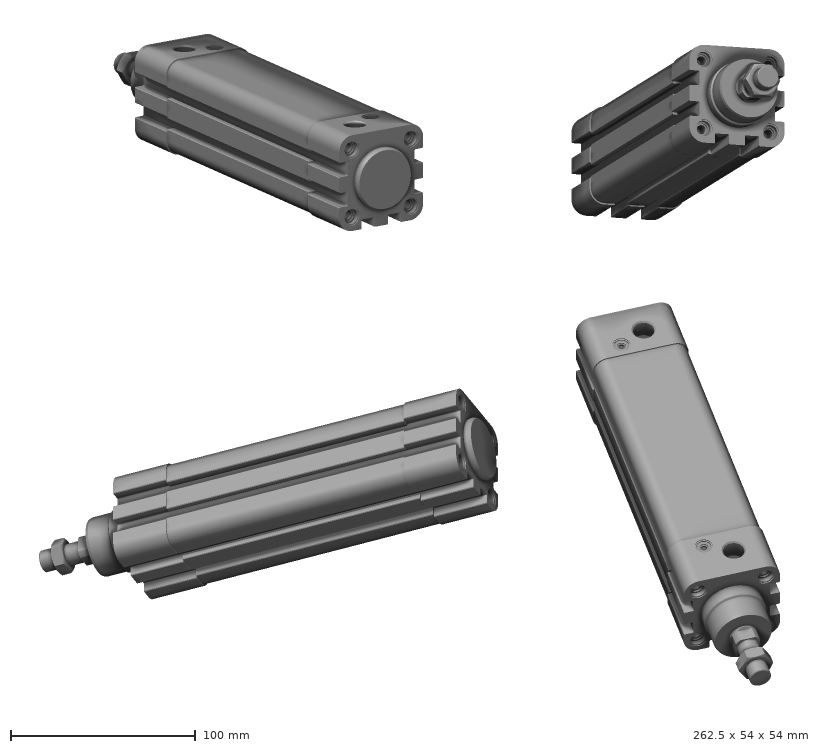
import cadquery as cq
import math

OVERALL_LENGTH = 262.5

CAP_SIDE = 54.0
CAP_CORNER_RADIUS = 8.5
CAP_LENGTH = 31.5
BARREL_INSET = 0.8
CAP_START = 54.0
REAR_COLLAR_LENGTH = 4.0
CAP_END = OVERALL_LENGTH - REAR_COLLAR_LENGTH
BARREL_LENGTH = CAP_END - CAP_START - 2 * CAP_LENGTH
BODY_MIDDLE = (CAP_START + CAP_END) / 2

CAP_SLOT_INNER = 4.5
CAP_SLOT_OUTER = 12.5
BARREL_SLOT_INNER = 5.8
BARREL_SLOT_OUTER = 11.5
SLOT_FLOOR = 21.5
CAP_SLOT_FILLET = 0.5
SLOT_CHAMFER = 0.4
BARREL_LIP_DEPTH = 2.5
SIDE_ANGLES = (-90, 0, 90)

COLLAR_DIAMETER = 35.0
NECK_DIAMETER = 33.0
NECK_START = 32.5
COLLAR_START = 46.2
NECK_CHAMFER_LENGTH = 1.5
NECK_CHAMFER_DEPTH = 0.5
COLLAR_RAMP_LENGTH = 0.8
REAR_CHAMFER_LENGTH = 1.5
REAR_CHAMFER_DEPTH = 0.92

SCREW_SPACING = 38.0
SCREW_BORE_DIAMETER = 10.0
SCREW_BORE_DEPTH = 0.5
SCREW_SEAT_DIAMETER = 8.5
SCREW_SEAT_DEPTH = 3.2
SCREW_HOLE_MOUTH_DIAMETER = 6.5
SCREW_HOLE_MOUTH_DEPTH = 4.2
SCREW_HOLE_DIAMETER = 5.0
SCREW_HOLE_DEPTH = 13.0

PORT_MOUTH_DIAMETER = 13.0
PORT_DIAMETER = 11.5
PORT_DEPTH = 10.5
PORT_Y = -6.0
PORT_FROM_MIDDLE = 85.3
CUSHION_BORE_DIAMETER = 9.7
CUSHION_HEAD_DIAMETER = 8.5
CUSHION_BORE_DEPTH = 0.5
CUSHION_HEAD_RECESS = 1.0
CUSHION_RECESS_DIAMETER = 5.0
CUSHION_RECESS_DEPTH = 1.5
CUSHION_SOCKET_DIAMETER = 3.5
CUSHION_SOCKET_DEPTH = 2.5
CUSHION_Y = 8.7
CUSHION_FROM_MIDDLE = 78.0

ROD_DIAMETER = 16.0
ROD_END = CAP_START + CAP_LENGTH
THREAD_DIAMETER = 12.0
THREAD_LENGTH = 24.0
THREAD_CHAMFER = 0.4
FLATS_WIDTH = 13.6
FLATS_END = 30.7
NUT_START = 8.1
NUT_LENGTH = 7.0
NUT_ACROSS_FLATS = 17.0
NUT_FACE_DIAMETER = 16.5
NUT_ACROSS_CORNERS = NUT_ACROSS_FLATS / math.cos(math.pi / 6)


def x_cylinder(start, end, diameter):
    return cq.Workplane("YZ", origin=(start, 0, 0)).circle(diameter / 2).extrude(end - start)


def turned(outline):
    """Solid of revolution about X from a closed (x, radius) outline."""
    return cq.Workplane("XY").polyline(outline).close().revolve(360, (0, 0, 0), (1, 0, 0))


def rounded_bar(start, length, side, corner_radius):
    bar = cq.Workplane("YZ", origin=(start, 0, 0)).rect(side, side).extrude(length)
    return bar.edges("|X").fillet(corner_radius)


def on_slotted_sides(pattern):
    """Copies of a pattern drawn for the -Z side, turned onto the -Y, -Z and +Y sides."""
    copies = cq.Workplane()
    for angle in SIDE_ANGLES:
        copies = copies.add(pattern.rotate((0, 0, 0), (1, 0, 0), angle))
    return copies.combine()


def slot_pair(start, length, inner, outer, floor, mouth):
    """Two slots, mirrored about Y = 0, from the floor distance down to the mouth distance."""
    centre = (inner + outer) / 2
    middle = -(floor + mouth) / 2
    pair = cq.Workplane("YZ", origin=(start, 0, 0)).pushPoints([(-centre, middle), (centre, middle)])
    return pair.rect(outer - inner, mouth - floor).extrude(length)


def flared_mouths(start, length, inner, outer, mouth):
    """Bevels that open the mouths of a slot pair by the slot chamfer on each side."""
    bevel_top = -(mouth - SLOT_CHAMFER)
    bevels = cq.Workplane()
    for side in (-1, 1):
        outline = [
            (side * inner, bevel_top),
            (side * outer, bevel_top),
            (side * (outer + SLOT_CHAMFER), -mouth),
            (side * (inner - SLOT_CHAMFER), -mouth),
        ]
        profile = cq.Workplane("YZ", origin=(start, 0, 0)).polyline(outline).close()
        bevels = bevels.add(profile.extrude(length))
    return bevels.combine()


def end_cap(start):
    cap = rounded_bar(start, CAP_LENGTH, CAP_SIDE, CAP_CORNER_RADIUS)
    mouth = CAP_SIDE / 2
    slots = slot_pair(start, CAP_LENGTH, CAP_SLOT_INNER, CAP_SLOT_OUTER, SLOT_FLOOR, mouth)
    slots = slots.faces(">Z").edges("|X").fillet(CAP_SLOT_FILLET)
    slots = slots.union(flared_mouths(start, CAP_LENGTH, CAP_SLOT_INNER, CAP_SLOT_OUTER, mouth))
    return cap.cut(on_slotted_sides(slots))


def barrel():
    """Barrel whose slots have a narrow mouth and widen toward the middle rib below its lip."""
    start = CAP_START + CAP_LENGTH
    mouth = CAP_SIDE / 2 - BARREL_INSET
    bar = rounded_bar(start, BARREL_LENGTH, 2 * mouth, CAP_CORNER_RADIUS - BARREL_INSET)
    slots = (
        slot_pair(start, BARREL_LENGTH, BARREL_SLOT_INNER, BARREL_SLOT_OUTER, SLOT_FLOOR, mouth)
        .union(slot_pair(start, BARREL_LENGTH, CAP_SLOT_INNER, BARREL_SLOT_OUTER, SLOT_FLOOR,
                         mouth - BARREL_LIP_DEPTH))
        .union(flared_mouths(start, BARREL_LENGTH, BARREL_SLOT_INNER, BARREL_SLOT_OUTER, mouth))
    )
    return bar.cut(on_slotted_sides(slots))


def collars():
    """Turned neck and front collar in front of the body, short collar behind it."""
    neck_radius = NECK_DIAMETER / 2
    collar_radius = COLLAR_DIAMETER / 2
    outline = [
        (NECK_START, 0),
        (NECK_START, neck_radius - NECK_CHAMFER_DEPTH),
        (NECK_START + NECK_CHAMFER_LENGTH, neck_radius),
        (COLLAR_START, neck_radius),
        (COLLAR_START + COLLAR_RAMP_LENGTH, collar_radius),
        (OVERALL_LENGTH - REAR_CHAMFER_LENGTH, collar_radius),
        (OVERALL_LENGTH, collar_radius - REAR_CHAMFER_DEPTH),
        (OVERALL_LENGTH, 0),
    ]
    return turned(outline)


def screw_sockets():
    front = (
        cq.Workplane("YZ", origin=(CAP_START, 0, 0))
        .rect(SCREW_SPACING, SCREW_SPACING, forConstruction=True)
        .vertices()
    )
    bore = front.circle(SCREW_BORE_DIAMETER / 2).extrude(SCREW_BORE_DEPTH)
    seat = front.circle(SCREW_SEAT_DIAMETER / 2).extrude(SCREW_SEAT_DEPTH)
    mouth = front.circle(SCREW_HOLE_MOUTH_DIAMETER / 2).extrude(SCREW_HOLE_MOUTH_DEPTH)
    hole = front.circle(SCREW_HOLE_DIAMETER / 2).extrude(SCREW_HOLE_DEPTH)
    sockets = bore.union(seat).union(mouth).union(hole)
    return sockets.union(sockets.mirror("YZ", (BODY_MIDDLE, 0, 0)))


def top_hole(x, y, diameter, depth):
    return cq.Workplane("XY", origin=(x, y, CAP_SIDE / 2)).circle(diameter / 2).extrude(-depth)


def top_holes(side):
    """Port and cushioning screw of one cap; side is -1 for the front and 1 for the rear."""
    port_x = BODY_MIDDLE + side * PORT_FROM_MIDDLE
    cushion_x = BODY_MIDDLE + side * CUSHION_FROM_MIDDLE
    mouth = (PORT_MOUTH_DIAMETER - PORT_DIAMETER) / 2
    port = top_hole(port_x, PORT_Y, PORT_DIAMETER, PORT_DEPTH)
    countersink = cq.Workplane(cq.Solid.makeCone(
        PORT_MOUTH_DIAMETER / 2, PORT_DIAMETER / 2, mouth,
        cq.Vector(port_x, PORT_Y, CAP_SIDE / 2), cq.Vector(0, 0, -1)))
    bore = top_hole(cushion_x, CUSHION_Y, CUSHION_BORE_DIAMETER, CUSHION_BORE_DEPTH)
    head = top_hole(cushion_x, CUSHION_Y, CUSHION_HEAD_DIAMETER, CUSHION_HEAD_RECESS)
    recess = top_hole(cushion_x, CUSHION_Y, CUSHION_RECESS_DIAMETER, CUSHION_RECESS_DEPTH)
    socket = top_hole(cushion_x, CUSHION_Y, CUSHION_SOCKET_DIAMETER, CUSHION_SOCKET_DEPTH)
    return port.union(countersink).union(bore).union(head).union(recess).union(socket)


def make_housing():
    housing = (
        end_cap(CAP_START)
        .union(barrel())
        .union(end_cap(CAP_END - CAP_LENGTH))
        .union(collars())
        .cut(screw_sockets())
        .cut(x_cylinder(NECK_START, ROD_END, ROD_DIAMETER))
    )
    for side in (-1, 1):
        housing = housing.cut(top_holes(side))
    return housing


def wrench_flats():
    """Square envelope of the four flats, flaring at 45 degrees to clear the rod."""
    flare = (ROD_DIAMETER - FLATS_WIDTH) / 2
    square = cq.Workplane("YZ", origin=(THREAD_LENGTH, 0, 0)).rect(FLATS_WIDTH, FLATS_WIDTH)
    square = square.extrude(FLATS_END - THREAD_LENGTH)
    run_out = (
        cq.Workplane("YZ", origin=(FLATS_END, 0, 0))
        .rect(FLATS_WIDTH, FLATS_WIDTH)
        .workplane(offset=flare)
        .rect(ROD_DIAMETER, ROD_DIAMETER)
        .loft(ruled=True)
    )
    flare_end = FLATS_END + flare
    shank = x_cylinder(THREAD_LENGTH, flare_end, ROD_DIAMETER)
    return square.union(run_out).intersect(shank).union(x_cylinder(flare_end, ROD_END, ROD_DIAMETER))


def nut():
    """Hexagon nut with its corners in +Y and -Y, chamfered on both faces."""
    hexagon = cq.Workplane("YZ", origin=(NUT_START, 0, 0)).polygon(6, NUT_ACROSS_CORNERS)
    hexagon = hexagon.extrude(NUT_LENGTH)
    face_radius = NUT_FACE_DIAMETER / 2
    corner_radius = NUT_ACROSS_CORNERS / 2
    chamfer_length = (corner_radius - face_radius) * math.tan(math.pi / 6)
    nut_end = NUT_START + NUT_LENGTH
    outline = [
        (NUT_START, 0),
        (NUT_START, face_radius),
        (NUT_START + chamfer_length, corner_radius),
        (nut_end - chamfer_length, corner_radius),
        (nut_end, face_radius),
        (nut_end, 0),
    ]
    return hexagon.intersect(turned(outline))


def make_piston_rod():
    thread = x_cylinder(0, THREAD_LENGTH, THREAD_DIAMETER).faces("<X").chamfer(THREAD_CHAMFER)
    return thread.union(wrench_flats()).union(nut())


housing = make_housing().solids()
piston_rod = make_piston_rod().solids()
result = cq.Compound.makeCompound([housing.val(), piston_rod.val()])